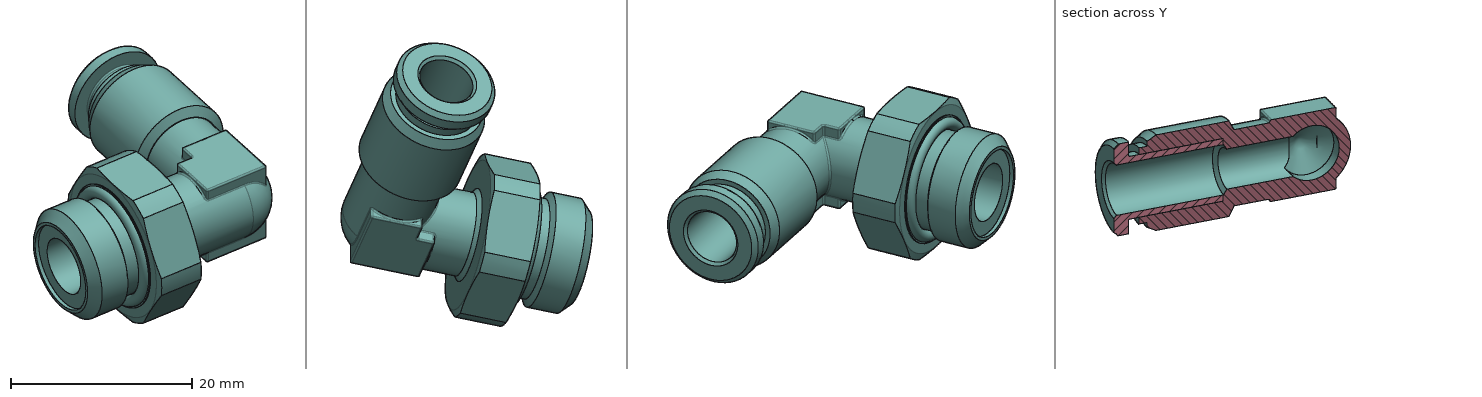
import cadquery as cq
import math


COLLET_FACE_X = -23.8
COLLET_FLANGE_RADIUS = 5.68
COLLET_FLANGE_LENGTH = 1.78
COLLET_CHAMFER = 0.53
COLLET_NECK_RADIUS = 3.9
COLLET_BORE_RADIUS = 3.07
COLLET_EXPOSED_LENGTH = 3.0
COLLET_LENGTH = 13.2
COLLET_NECK_FILLET = 0.15
COLLET_MOUTH_CHAMFER = 0.33

SLEEVE_RADIUS = 5.9
SLEEVE_FRONT = 4.0
SLEEVE_FRONT_RADIUS = 5.3
SLEEVE_FULL_START = 5.08
SLEEVE_FULL_END = 13.85
SLEEVE_BACK = 14.45
SLEEVE_BACK_RADIUS = 4.8

PIPE_RADIUS = 4.72
PIPE_BORE_RADIUS = 2.45
PIPE_BORE_END_X = 1.68

PAD_HALF_WIDTH = 2.97
PAD_REACH = 5.0
PAD_Z = 5.05
PAD_FILLET = 0.2
PAD_MARGIN = 0.15

NUT_START_Y = -9.77
NUT_END_Y = -15.45
NUT_SIDES = 6
NUT_ACROSS_FLATS = 17.0
NUT_CORNER_RADIUS = 9.2
NUT_FACE_RADIUS = 8.45
NUT_CHAMFER_LENGTH = 0.2
FLARE_START_Y = -9.3
FLARE_RADIUS = 5.25

WASHER_FACE_RADIUS = 7.3
WASHER_FACE_Y = -15.58
RING_SECTION_RADIUS = 0.7
RING_CENTRE_RADIUS = 6.4
RELIEF_RADIUS = 5.68
RELIEF_END_Y = -17.45
THREAD_RADIUS = 6.5
THREAD_START_Y = -17.92
STUD_END_Y = -22.5
STUD_CHAMFER = 1.15
STUD_RECESS_RADIUS = 4.98
STUD_RECESS_DEPTH = 0.45
STUD_BORE_RADIUS = 3.3
STUD_BORE_END_Y = 1.45

DRILL_POINT_ANGLE = 118


def turned_about_x(points):
    """Revolve an (x, radius) outline about the X axis."""
    return cq.Workplane("XY").polyline(points).close().revolve(360, (0, 0), (1, 0))


def turned_about_y(points):
    """Revolve a (radius, y) outline about the Y axis."""
    return cq.Workplane("XY").polyline(points).close().revolve(360, (0, 0), (0, 1))


def drill_cone_height(radius_drop):
    """Height over which a drill-point cone narrows by the given radius."""
    return radius_drop / math.tan(math.radians(DRILL_POINT_ANGLE / 2))


def from_face(distance):
    """X position at a distance behind the collet's front face."""
    return COLLET_FACE_X + distance


def make_collet():
    flange_back = from_face(COLLET_FLANGE_LENGTH)
    back = from_face(COLLET_LENGTH)
    mouth_radius = COLLET_BORE_RADIUS + COLLET_MOUTH_CHAMFER
    outline = (
        cq.Workplane("XY")
        .moveTo(COLLET_FACE_X, mouth_radius)
        .lineTo(COLLET_FACE_X, COLLET_FLANGE_RADIUS - COLLET_CHAMFER)
        .lineTo(from_face(COLLET_CHAMFER), COLLET_FLANGE_RADIUS)
        .lineTo(flange_back, COLLET_FLANGE_RADIUS)
        .lineTo(flange_back, COLLET_NECK_RADIUS + COLLET_NECK_FILLET)
        .radiusArc((flange_back + COLLET_NECK_FILLET, COLLET_NECK_RADIUS), -COLLET_NECK_FILLET)
        .lineTo(back, COLLET_NECK_RADIUS)
        .lineTo(back, COLLET_BORE_RADIUS)
        .lineTo(from_face(COLLET_MOUTH_CHAMFER), COLLET_BORE_RADIUS)
        .close()
    )
    return outline.revolve(360, (0, 0), (1, 0))


def make_corner():
    """Two pipes meeting in a mitre, with a ball on the outside and a pad on each side."""
    socket_pipe = cq.Workplane("YZ").circle(PIPE_RADIUS).extrude(from_face(COLLET_EXPOSED_LENGTH))
    stud_pipe = cq.Workplane("XZ").circle(PIPE_RADIUS).extrude(-NUT_START_Y)
    ball = cq.Workplane("XY").sphere(PIPE_RADIUS)
    pads = (
        cq.Workplane("XY", origin=(0, 0, -PAD_Z))
        .polyline([
            (PAD_HALF_WIDTH, PAD_HALF_WIDTH),
            (-PAD_REACH, PAD_HALF_WIDTH),
            (-PAD_REACH, -PAD_HALF_WIDTH),
            (-PAD_HALF_WIDTH, -PAD_HALF_WIDTH),
            (-PAD_HALF_WIDTH, -PAD_REACH),
            (PAD_HALF_WIDTH, -PAD_REACH),
        ])
        .close()
        .extrude(2 * PAD_Z)
    )
    corner = socket_pipe.union(stud_pipe).union(ball).union(pads)
    return round_pad_edges(corner)


def round_pad_edges(corner):
    """Round the pad sides, their feet and the inner mitre first, then the rims of the pad faces."""
    low = -PAD_REACH - PAD_MARGIN
    high = PAD_HALF_WIDTH + PAD_MARGIN
    inner_z = PAD_Z - PAD_FILLET
    full_z = PAD_Z + PAD_MARGIN
    around_pads = cq.selectors.BoxSelector((low, low, -full_z), (high, high, full_z), boundingbox=True)
    between_faces = cq.selectors.BoxSelector((low, low, -inner_z), (high, high, inner_z))
    corner = corner.edges(around_pads).edges(between_faces).fillet(PAD_FILLET)
    return corner.faces("<Z or >Z").edges().fillet(PAD_FILLET)


def make_sleeve():
    return turned_about_x([
        (from_face(SLEEVE_FRONT), 0),
        (from_face(SLEEVE_FRONT), SLEEVE_FRONT_RADIUS),
        (from_face(SLEEVE_FULL_START), SLEEVE_RADIUS),
        (from_face(SLEEVE_FULL_END), SLEEVE_RADIUS),
        (from_face(SLEEVE_BACK), SLEEVE_BACK_RADIUS),
        (from_face(SLEEVE_BACK), 0),
    ])


def make_nut():
    """Hexagon with its points along X, turned down at the corners and chamfered at both ends."""
    hexagon = (
        cq.Workplane("XZ", origin=(0, NUT_START_Y, 0))
        .polygon(NUT_SIDES, NUT_ACROSS_FLATS / math.cos(math.pi / NUT_SIDES))
        .extrude(NUT_START_Y - NUT_END_Y)
    )
    envelope = turned_about_y([
        (0, NUT_START_Y),
        (NUT_FACE_RADIUS, NUT_START_Y),
        (NUT_CORNER_RADIUS, NUT_START_Y - NUT_CHAMFER_LENGTH),
        (NUT_CORNER_RADIUS, NUT_END_Y + NUT_CHAMFER_LENGTH),
        (NUT_FACE_RADIUS, NUT_END_Y),
        (0, NUT_END_Y),
    ])
    return hexagon.intersect(envelope)


def make_flare():
    """Cone that widens the pipe where it meets the nut."""
    return turned_about_y([
        (0, FLARE_START_Y),
        (PIPE_RADIUS, FLARE_START_Y),
        (FLARE_RADIUS, NUT_START_Y),
        (0, NUT_START_Y),
    ])


def make_stud():
    stud = turned_about_y([
        (0, NUT_END_Y),
        (WASHER_FACE_RADIUS, NUT_END_Y),
        (WASHER_FACE_RADIUS, WASHER_FACE_Y),
        (RELIEF_RADIUS, WASHER_FACE_Y),
        (RELIEF_RADIUS, RELIEF_END_Y),
        (THREAD_RADIUS, THREAD_START_Y),
        (THREAD_RADIUS, STUD_END_Y + STUD_CHAMFER),
        (THREAD_RADIUS - STUD_CHAMFER, STUD_END_Y),
        (STUD_RECESS_RADIUS, STUD_END_Y),
        (STUD_RECESS_RADIUS, STUD_END_Y + STUD_RECESS_DEPTH),
        (0, STUD_END_Y + STUD_RECESS_DEPTH),
    ])
    return stud.union(make_sealing_ring())


def make_sealing_ring():
    """Round ring, half sunk in the washer face."""
    return (
        cq.Workplane("XY")
        .center(RING_CENTRE_RADIUS, WASHER_FACE_Y)
        .circle(RING_SECTION_RADIUS)
        .revolve(360, (-RING_CENTRE_RADIUS, 0), (-RING_CENTRE_RADIUS, 1))
    )


def make_socket_bore():
    """Seat for the collet, then a cone down to the pipe bore, which ends flat past the corner."""
    mouth_x = from_face(COLLET_EXPOSED_LENGTH)
    seat_x = from_face(COLLET_LENGTH)
    cone_end_x = seat_x + drill_cone_height(COLLET_BORE_RADIUS - PIPE_BORE_RADIUS)
    return turned_about_x([
        (mouth_x, 0),
        (mouth_x, COLLET_NECK_RADIUS),
        (seat_x, COLLET_NECK_RADIUS),
        (seat_x, COLLET_BORE_RADIUS),
        (cone_end_x, PIPE_BORE_RADIUS),
        (PIPE_BORE_END_X, PIPE_BORE_RADIUS),
        (PIPE_BORE_END_X, 0),
    ])


def make_stud_bore():
    """Drilled hole with a drill-point end."""
    point_height = drill_cone_height(STUD_BORE_RADIUS)
    return turned_about_y([
        (0, STUD_END_Y),
        (STUD_BORE_RADIUS, STUD_END_Y),
        (STUD_BORE_RADIUS, STUD_BORE_END_Y),
        (0, STUD_BORE_END_Y + point_height),
    ])


def make_fitting():
    fitting = make_corner()
    for portion in (make_sleeve(), make_flare(), make_nut(), make_stud()):
        fitting = fitting.union(portion)
    return fitting.cut(make_socket_bore()).cut(make_stud_bore())


collet = make_collet()
fitting = make_fitting()

result = cq.Compound.makeCompound([collet.val(), *fitting.vals()])